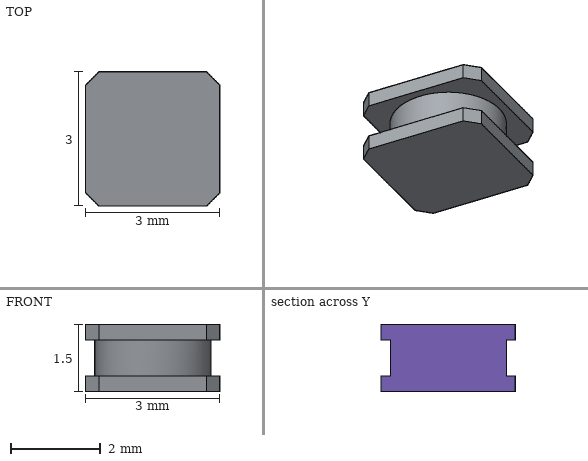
import cadquery as cq

flange_side = 3.0
flange_thickness = 0.35
corner_chamfer = 0.3
core_diameter = 2.6
total_height = 1.5

core_height = total_height - 2 * flange_thickness


def flange(bottom_z):
    """Square plate with chamfered corners, its lower face at bottom_z."""
    return (
        cq.Workplane("XY")
        .workplane(offset=bottom_z)
        .rect(flange_side, flange_side)
        .extrude(flange_thickness)
        .edges("|Z")
        .chamfer(corner_chamfer)
    )


core = (
    cq.Workplane("XY")
    .workplane(offset=flange_thickness)
    .circle(core_diameter / 2)
    .extrude(core_height)
)

result = core.union(flange(0)).union(flange(total_height - flange_thickness))